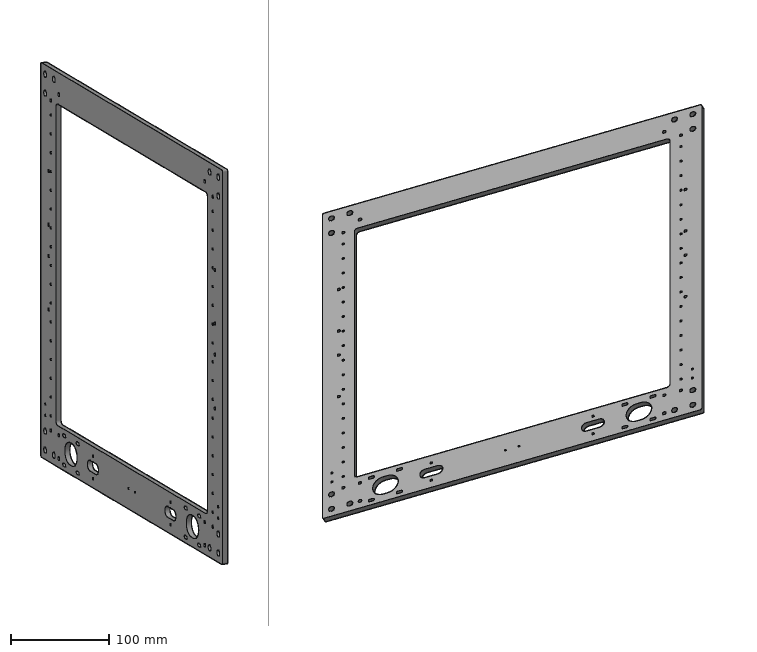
import cadquery as cq

SIDE = 420.0
THICKNESS = 6.0
OUTER_CORNER_RADIUS = 2.0
WINDOW_HALF_WIDTH = 174.7
WINDOW_TOP = 176.0
WINDOW_BOTTOM = -166.0
WINDOW_CORNER_RADIUS = 3.8

CORNER_HOLE_DIAMETER = 6.5
CORNER_HOLE_OFFSET = 200.0
CORNER_HOLE_PITCH = 20.0

COLUMN_X = 187.0
COLUMN_COUNT = 17
COLUMN_HALF_LENGTH = 160.0
COLUMN_HOLE_DIAMETER = 2.3
COLUMN_PITCH = 2 * COLUMN_HALF_LENGTH / (COLUMN_COUNT - 1)
END_HOLE_Z = 175.5
END_HOLE_DIAMETER = 3.15

BRACKET_X = 192.0
BRACKET_PAIR_SPACING = 57.0
BRACKET_PAIR_TOPS = (99.0, 9.0)
BRACKET_HOLE_DIAMETER = 3.15

EDGE_HOLE_X = 199.5
EDGE_HOLE_ZS = (-150.8, -163.0)
EDGE_HOLE_DIAMETER = 2.3

INBOARD_HOLE_X = 168.5
INBOARD_TOP_Z = 187.0
INBOARD_BOTTOM_Z = -200.5
INBOARD_HOLE_DIAMETER = 3.8

RAIL_Z = -188.0
PORT_X = 140.3
PORT_LENGTH = 28.0
PORT_HEIGHT = 23.5
PORT_SCREW_SPACING = 31.0
PORT_SCREW_LENGTH = 6.7
PORT_SCREW_HEIGHT = 3.5
SOCKET_X = 89.5
SOCKET_LENGTH = 25.0
SOCKET_HEIGHT = 11.5
SOCKET_SCREW_SPACING = 24.0
SOCKET_SCREW_DIAMETER = 2.5
CENTRE_HOLE_X = 7.5
CENTRE_HOLE_DIAMETER = 1.5


def mirrored(points):
    """Return the points together with their mirror images across X = 0."""
    return [(side * x, z) for side in (-1, 1) for x, z in points]


def through(outline):
    """Extrude an XZ outline through the plate thickness, centred on Y = 0."""
    return outline.extrude(THICKNESS / 2, both=True)


def drill(plate, points, diameter):
    """Cut round through holes at the points and at their mirror images."""
    outline = cq.Workplane("XZ").pushPoints(mirrored(points)).circle(diameter / 2)
    return plate.cut(through(outline))


def cut_slots(plate, points, length, height):
    """Cut round-ended through slots at the points and at their mirror images."""
    outline = cq.Workplane("XZ").pushPoints(mirrored(points)).slot2D(length, height)
    return plate.cut(through(outline))


def make_frame():
    """Square plate with rounded corners and a rounded rectangular window."""
    plate = through(cq.Workplane("XZ").rect(SIDE, SIDE))
    plate = plate.edges("|Y").fillet(OUTER_CORNER_RADIUS)
    window_centre_z = (WINDOW_TOP + WINDOW_BOTTOM) / 2
    window_outline = (
        cq.Workplane("XZ")
        .center(0, window_centre_z)
        .rect(2 * WINDOW_HALF_WIDTH, WINDOW_TOP - WINDOW_BOTTOM)
    )
    window = through(window_outline).edges("|Y").fillet(WINDOW_CORNER_RADIUS)
    return plate.cut(window)


def drill_corners(plate):
    """Cut the corner mounting holes and the smaller holes inboard of them."""
    inner = CORNER_HOLE_OFFSET - CORNER_HOLE_PITCH
    corner_holes = []
    for end in (-1, 1):
        corner_holes.append((CORNER_HOLE_OFFSET, end * CORNER_HOLE_OFFSET))
        corner_holes.append((CORNER_HOLE_OFFSET, end * inner))
        corner_holes.append((inner, end * CORNER_HOLE_OFFSET))
    plate = drill(plate, corner_holes, CORNER_HOLE_DIAMETER)
    inboard_holes = [(INBOARD_HOLE_X, INBOARD_TOP_Z), (INBOARD_HOLE_X, INBOARD_BOTTOM_Z)]
    return drill(plate, inboard_holes, INBOARD_HOLE_DIAMETER)


def drill_uprights(plate):
    """Cut the hole columns, bracket holes and edge holes of both uprights."""
    column = [(COLUMN_X, COLUMN_HALF_LENGTH - i * COLUMN_PITCH) for i in range(COLUMN_COUNT)]
    plate = drill(plate, column, COLUMN_HOLE_DIAMETER)

    end_holes = [(COLUMN_X, END_HOLE_Z), (COLUMN_X, -END_HOLE_Z), (INBOARD_HOLE_X, -END_HOLE_Z)]
    plate = drill(plate, end_holes, END_HOLE_DIAMETER)

    bracket_holes = []
    for top in BRACKET_PAIR_TOPS:
        bracket_holes.append((BRACKET_X, top))
        bracket_holes.append((BRACKET_X, top - BRACKET_PAIR_SPACING))
    plate = drill(plate, bracket_holes, BRACKET_HOLE_DIAMETER)

    edge_holes = [(EDGE_HOLE_X, z) for z in EDGE_HOLE_ZS]
    return drill(plate, edge_holes, EDGE_HOLE_DIAMETER)


def cut_bottom_rail(plate):
    """Cut the ports, sockets, their screw openings and the two centre holes."""
    plate = cut_slots(plate, [(PORT_X, RAIL_Z)], PORT_LENGTH, PORT_HEIGHT)
    port_screws = [
        (PORT_X + i * PORT_SCREW_SPACING / 2, RAIL_Z + j * PORT_SCREW_SPACING / 2)
        for i in (-1, 1)
        for j in (-1, 1)
    ]
    plate = cut_slots(plate, port_screws, PORT_SCREW_LENGTH, PORT_SCREW_HEIGHT)

    plate = cut_slots(plate, [(SOCKET_X, RAIL_Z)], SOCKET_LENGTH, SOCKET_HEIGHT)
    socket_screws = [(SOCKET_X, RAIL_Z + j * SOCKET_SCREW_SPACING / 2) for j in (-1, 1)]
    plate = drill(plate, socket_screws, SOCKET_SCREW_DIAMETER)

    return drill(plate, [(CENTRE_HOLE_X, RAIL_Z)], CENTRE_HOLE_DIAMETER)


result = cut_bottom_rail(drill_uprights(drill_corners(make_frame())))